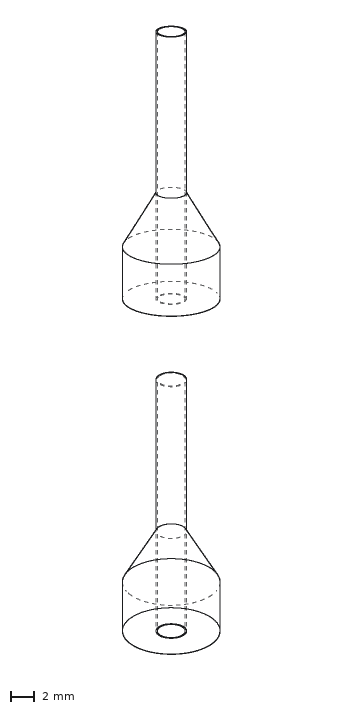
import cadquery as cq

TOTAL_HEIGHT = 24.0
COLLAR_DIAMETER = 8.2
COLLAR_SKIRT_HEIGHT = 4.68
COLLAR_HEIGHT = 9.53
TUBE_DIAMETER = 2.57
TUBE_WALL = 0.12

collar_radius = COLLAR_DIAMETER / 2
tube_radius = TUBE_DIAMETER / 2
bore_radius = tube_radius - TUBE_WALL


def make_tube():
    """Thin-walled tube, open at both ends, running the full height."""
    return cq.Workplane("XY").circle(tube_radius).circle(bore_radius).extrude(TOTAL_HEIGHT)


def make_collar():
    """Cylindrical skirt with a cone tapering up to the outside of the tube."""
    half_section = (
        cq.Workplane("XZ")
        .moveTo(tube_radius, 0)
        .lineTo(collar_radius, 0)
        .lineTo(collar_radius, COLLAR_SKIRT_HEIGHT)
        .lineTo(tube_radius, COLLAR_HEIGHT)
        .close()
    )
    return half_section.revolve(360, (0, 0, 0), (0, 1, 0))


tube = make_tube()
collar = make_collar()

result = cq.Compound.makeCompound([tube.val(), collar.val()])